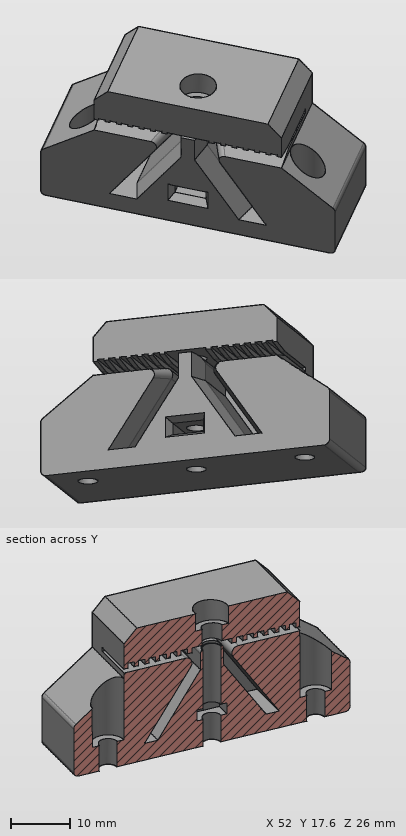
import cadquery as cq
import math

LENGTH = 52.0
DEPTH = 17.6
HEIGHT = 26.0

JAW_WIDTH = 33.05
SHOULDER_Z = 16.8
FLANK_Z = 9.9
JAW_CHAMFER_X = 2.4
JAW_CHAMFER_Z = 2.5
EDGE_RADIUS = 1.0

CHANNEL_DEPTH = 13.8
MOUTH_DEPTH = 4.0
SLIT_BOTTOM = 17.9
SLIT_TOP = 18.55
MOUTH_RISE = 0.6
LEG_BOTTOM = 3.35
LEG_LEAN = math.radians(34.5)
LEG_OUTER_X = 12.6
LEG_FLARE = 1.25
BEND_RADIUS = 1.25
MOUTH_BEND_RADIUS = 1.05

ISLAND_BASE_X = 10.2
ISLAND_NECK_X = 2.2
ISLAND_TOP = 19.05
ISLAND_TAPER = 1.0
ISLAND_TOP_RADIUS = 1.0
ISLAND_REAR_CHAMFER = 1.0

GROOVE_TOP = 19.5
GROOVE_WIDTH = 1.15
GROOVE_COUNT = 6
FIRST_GROOVE_X = 5.2
LAST_GROOVE_X = 15.2
GROOVE_PITCH = (LAST_GROOVE_X - FIRST_GROOVE_X) / (GROOVE_COUNT - 1)
CENTRE_RELIEF_WIDTH = 7.4

SCREW_Y = 5.45
SCREW_DIAMETER = 3.35
SIDE_HEAD_DIAMETER = 5.9
CLAMP_HEAD_DIAMETER = 6.15
SIDE_SCREW_X = 19.5
SIDE_HEAD_FLOOR = 5.0
CLAMP_HEAD_DEPTH = 3.35
CLAMP_HEAD_TILT = 7.5
CLAMP_SCREW_DIAMETER = 3.65

NUT_Z = 6.25
NUT_WIDTH = 5.5
NUT_HEIGHT = 2.05
NUT_FLARE = 0.8
NUT_FLARE_DEPTH = 1.5
NUT_POCKET_DEPTH = SCREW_Y + NUT_WIDTH / 2


def front_plane(y=0):
    """Sketch plane facing the front at distance y behind the front face; negative extrudes go back."""
    return cq.Workplane("XZ", origin=(0, y, 0))


def mirrored(right_points):
    """Closed outline from its right half, listed bottom to top, mirrored about X = 0."""
    return right_points + [(-x, z) for x, z in reversed(right_points)]


def block():
    outline = mirrored([
        (LENGTH / 2, 0),
        (LENGTH / 2, FLANK_Z),
        (JAW_WIDTH / 2, SHOULDER_Z),
        (JAW_WIDTH / 2, HEIGHT - JAW_CHAMFER_Z),
        (JAW_WIDTH / 2 - JAW_CHAMFER_X, HEIGHT),
    ])
    body = front_plane().polyline(outline).close().extrude(-DEPTH)
    for side in (-1, 1):
        corner = (side * LENGTH / 2, DEPTH / 2, FLANK_Z)
        body = body.edges(cq.selectors.NearestToPointSelector(corner)).fillet(EDGE_RADIUS)
    return body.faces("<Z").edges("<X or >X or >Y").fillet(EDGE_RADIUS)


def channel_outline(y, top, lip, leg_x, bend_radius):
    """Outline of slit and legs, island included, with the bends between slit and legs rounded."""
    corner_x = leg_x - (lip - LEG_BOTTOM) * math.tan(LEG_LEAN)
    setback = bend_radius / math.tan((math.pi / 2 - LEG_LEAN) / 2)
    leg_tangent = (corner_x + setback * math.sin(LEG_LEAN), lip - setback * math.cos(LEG_LEAN))
    slit_tangent = (corner_x + setback, lip)
    bend_centre = (corner_x + setback, lip - bend_radius)
    to_corner = math.atan2(bend_radius, -setback)
    bend_middle = (
        bend_centre[0] + bend_radius * math.cos(to_corner),
        bend_centre[1] + bend_radius * math.sin(to_corner),
    )

    def left(point):
        return (-point[0], point[1])

    return (
        front_plane(y)
        .moveTo(-leg_x, LEG_BOTTOM)
        .lineTo(leg_x, LEG_BOTTOM)
        .lineTo(*leg_tangent)
        .threePointArc(bend_middle, slit_tangent)
        .lineTo(LENGTH / 2, lip)
        .lineTo(LENGTH / 2, top)
        .lineTo(-LENGTH / 2, top)
        .lineTo(-LENGTH / 2, lip)
        .lineTo(*left(slit_tangent))
        .threePointArc(left(bend_middle), left(leg_tangent))
        .close()
    )


def loft_between(front, back):
    return cq.Workplane(cq.Solid.makeLoft([front.val(), back.val()], True))


def channel():
    """Slit and legs, flaring out towards the front face."""
    front_top = SLIT_TOP + MOUTH_RISE
    front_leg_x = LEG_OUTER_X + LEG_FLARE
    front = channel_outline(0, front_top, SHOULDER_Z, front_leg_x, MOUTH_BEND_RADIUS)
    throat = channel_outline(MOUTH_DEPTH, SLIT_TOP, SLIT_BOTTOM, LEG_OUTER_X, BEND_RADIUS)
    mouth = loft_between(front, throat)
    return mouth.union(throat.extrude(MOUTH_DEPTH - CHANNEL_DEPTH))


def island_outline(y, inset):
    """Island outline with its sides moved inward by inset, measured square to each side."""
    neck_x = ISLAND_NECK_X - inset
    base_x = ISLAND_BASE_X - inset / math.cos(LEG_LEAN)
    neck_z = LEG_BOTTOM + (base_x - neck_x) / math.tan(LEG_LEAN)
    points = mirrored([(base_x, LEG_BOTTOM), (neck_x, neck_z), (neck_x, ISLAND_TOP)])
    return front_plane(y).polyline(points).close()


def island():
    """Wedge left standing between the legs: tapered at the front, bevelled along its rear top edge."""
    full = island_outline(0, 0).extrude(-CHANNEL_DEPTH)
    full = full.faces(">Z").edges("|Y").fillet(ISLAND_TOP_RADIUS)
    rear_corner = [
        (CHANNEL_DEPTH, ISLAND_TOP),
        (CHANNEL_DEPTH, ISLAND_TOP - ISLAND_REAR_CHAMFER),
        (CHANNEL_DEPTH - ISLAND_REAR_CHAMFER, ISLAND_TOP),
    ]
    full = full.cut(cq.Workplane("YZ").polyline(rear_corner).close().extrude(ISLAND_NECK_X, both=True))
    throat = island_outline(MOUTH_DEPTH, 0)
    tapered = loft_between(island_outline(0, ISLAND_TAPER), throat)
    tapered = tapered.union(throat.extrude(MOUTH_DEPTH - CHANNEL_DEPTH))
    return full.intersect(tapered)


def roof_grooves():
    """Tooth grooves on both sides and the wide relief above the island."""
    height = GROOVE_TOP - SLIT_BOTTOM

    def groove(x, width):
        return front_plane().center(x, GROOVE_TOP - height / 2).rect(width, height).extrude(-CHANNEL_DEPTH)

    grooves = groove(0, CENTRE_RELIEF_WIDTH)
    for index in range(GROOVE_COUNT):
        x = FIRST_GROOVE_X + index * GROOVE_PITCH
        grooves = grooves.union(groove(x, GROOVE_WIDTH)).union(groove(-x, GROOVE_WIDTH))
    return grooves


def vertical_hole(x, diameter, bottom, top):
    return cq.Workplane(origin=(x, SCREW_Y, bottom)).circle(diameter / 2).extrude(top - bottom)


def side_screw_hole(x):
    hole = vertical_hole(x, SCREW_DIAMETER, 0, HEIGHT)
    return hole.union(vertical_hole(x, SIDE_HEAD_DIAMETER, SIDE_HEAD_FLOOR, HEIGHT))


def clamp_screw_hole():
    """Central hole, widened through the jaw, with a head recess that leans towards the back."""
    floor_z = HEIGHT - CLAMP_HEAD_DEPTH
    hole = vertical_hole(0, SCREW_DIAMETER, 0, HEIGHT)
    hole = hole.union(vertical_hole(0, CLAMP_SCREW_DIAMETER, SLIT_TOP, HEIGHT))
    pivot = (0, SCREW_Y, floor_z)
    head = vertical_hole(0, CLAMP_HEAD_DIAMETER, floor_z, HEIGHT + CLAMP_HEAD_DEPTH)
    return hole.union(head.rotate(pivot, (1, SCREW_Y, floor_z), -CLAMP_HEAD_TILT))


def nut_pocket():
    def outline(y, flare):
        return front_plane(y).center(0, NUT_Z).rect(NUT_WIDTH + 2 * flare, NUT_HEIGHT + 2 * flare)

    pocket = outline(0, 0).extrude(-NUT_POCKET_DEPTH)
    return pocket.union(loft_between(outline(0, NUT_FLARE), outline(NUT_FLARE_DEPTH, 0)))


result = (
    block()
    .cut(channel().union(roof_grooves()).cut(island()))
    .cut(clamp_screw_hole())
    .cut(nut_pocket())
)
for side in (-1, 1):
    result = result.cut(side_screw_hole(side * SIDE_SCREW_X))